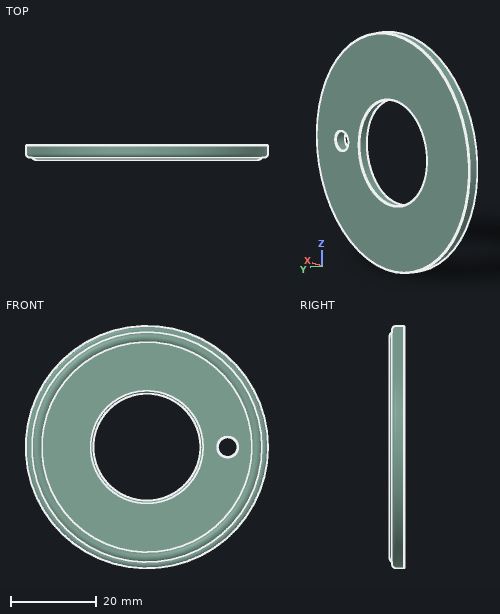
import cadquery as cq
import math

outer_radius = 28.5
rim_thickness = 3.0
front_round = 0.95
back_chamfer = 0.2

bead_outer_radius = 27.0
bead_inner_radius = 24.7
bead_height = 0.6

bore_radius = 12.55
bore_chamfer = 0.7
pin_hole_radius = 2.3
pin_hole_chamfer = 0.2
pin_hole_offset = 19.0


def revolved_disc():
    """Disc with its axis along Y: back at Y = 0, front towards -Y."""
    face_y = -rim_thickness
    bead_middle = (bead_outer_radius + bead_inner_radius) / 2
    round_mid_shift = front_round * (1 - math.sqrt(0.5))
    profile = (
        cq.Workplane("XY")
        .moveTo(bore_radius + back_chamfer, 0)
        .lineTo(outer_radius - back_chamfer, 0)
        .lineTo(outer_radius, -back_chamfer)
        .lineTo(outer_radius, face_y + front_round)
        .threePointArc(
            (outer_radius - round_mid_shift, face_y + round_mid_shift),
            (outer_radius - front_round, face_y),
        )
        .lineTo(bead_outer_radius, face_y)
        .threePointArc((bead_middle, face_y - bead_height), (bead_inner_radius, face_y))
        .lineTo(bore_radius + bore_chamfer, face_y)
        .lineTo(bore_radius, face_y + bore_chamfer)
        .lineTo(bore_radius, -back_chamfer)
        .close()
    )
    return profile.revolve(360, (0, 0, 0), (0, 1, 0))


def pin_hole_cutter():
    """Through hole parallel to the disc axis, chamfered at both faces."""
    mouth_radius = pin_hole_radius + pin_hole_chamfer
    profile = (
        cq.Workplane("XY")
        .moveTo(0, 0)
        .lineTo(pin_hole_radius + back_chamfer, 0)
        .lineTo(pin_hole_radius, -back_chamfer)
        .lineTo(pin_hole_radius, -rim_thickness + pin_hole_chamfer)
        .lineTo(mouth_radius, -rim_thickness)
        .lineTo(0, -rim_thickness)
        .close()
    )
    cutter = profile.revolve(360, (0, 0, 0), (0, 1, 0))
    return cutter.translate((pin_hole_offset, 0, 0))


result = revolved_disc().cut(pin_hole_cutter())